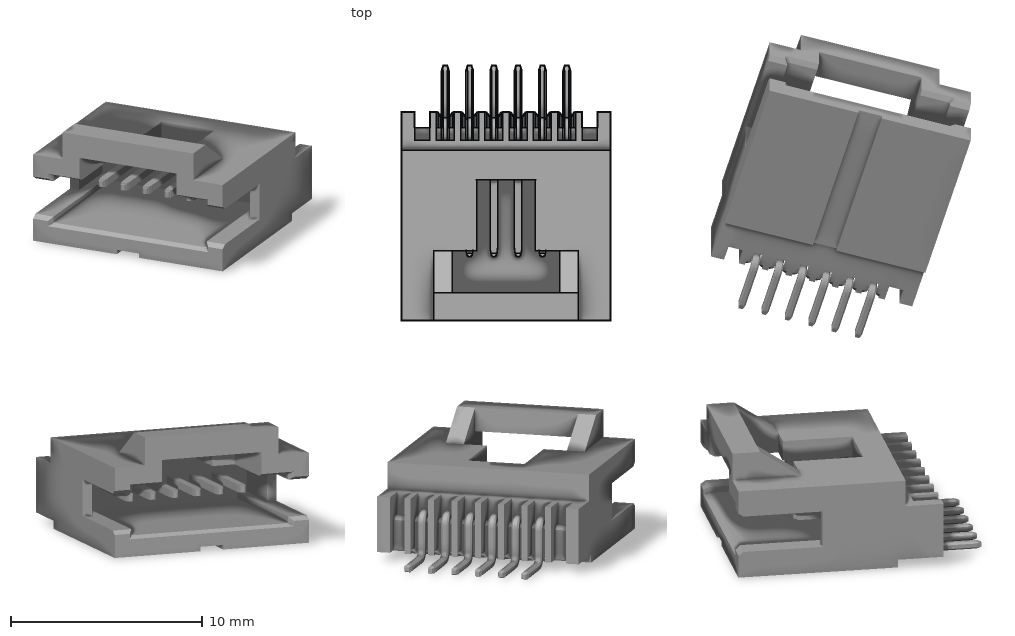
import cadquery as cq
import math


body_width = 10.95
body_height = 4.8
body_depth = 10.91
rear_top_step_y = 8.9
rear_top_step_z = 3.39
rear_foot_y = 8.48
rear_foot_z = 0.43

cavity_depth = 7.35
cavity_width = 8.86
cavity_floor = 1.08
cavity_ceiling = 3.71
groove_width = 9.9
groove_bottom = 1.41
groove_top = 3.39
side_slot_depth = 4.48
lead_in_depth = 0.28
groove_lead_in = 0.19
cavity_lead_in_side = 0.2
cavity_lead_in_height = 0.15

bridge_width = 7.55
bridge_top = 6.3
bridge_depth = 1.47
bridge_ramp_end = 3.65
bridge_gap_width = 5.6
bridge_underside = 5.03
window_width = 3.07

key_width = 1.3
key_height = 0.24

pin_count = 6
pin_row_length = 6.35
pin_pitch = pin_row_length / (pin_count - 1)
pin_size = 0.4
pin_edge_chamfer = 0.1
pin_axis_z = 2.4
pin_nose_y = 3.34
pin_shoulder_y = 3.52
pin_taper_y = 3.83
pin_shoulder_half = 0.16
pin_nose_half_width = 0.13
pin_nose_height = 0.3
pin_leg_y = 10.39
tail_axis_z = 0.15
tail_tip_y = 13.34
tail_tip_length = 0.3
tail_tip_size = 0.21
upper_bend_radius = 0.4
lower_bend_radius = 0.48

opening_front_y = 9.43
ledge_y = 10.09
ledge_z = pin_axis_z - pin_size / 2
ledge_run = 0.33
ledge_radius = 0.39
ledge_drop = ledge_radius - math.sqrt(ledge_radius**2 - ledge_run**2)
pin_opening_width = 0.95
end_opening_width = 0.8
end_opening_x = 4.38

lip_gap = 0.43
lip_shoulder_width = 0.76
lip_shoulder_drop = 0.03
lip_height = lip_shoulder_drop + (lip_shoulder_width - lip_gap) / 2
lip_undercut = 0.24

pin_positions = [i * pin_pitch - pin_row_length / 2 for i in range(pin_count)]


def block(width, y0, y1, z0, z1):
    """Box centred on X = 0, spanning y0..y1 and z0..z1."""
    box = cq.Workplane("XY").box(width, y1 - y0, z1 - z0, centered=(True, False, False))
    return box.translate((0, y0, z0))


def side_prism(points, width):
    """Prism of a closed (y, z) outline, centred on X = 0."""
    return cq.Workplane("YZ").polyline(points).close().extrude(width / 2, both=True)


def housing_blank():
    """Solid housing with a stepped rear end."""
    outline = [
        (0, 0),
        (rear_foot_y, 0),
        (rear_foot_y, rear_foot_z),
        (body_depth, rear_foot_z),
        (body_depth, rear_top_step_z),
        (rear_top_step_y, rear_top_step_z),
        (rear_top_step_y, body_height),
        (0, body_height),
    ]
    return side_prism(outline, body_width)


def latch_bridge():
    """Raised bar across the front with ramped arms running back from it."""
    outline = [
        (0, body_height),
        (bridge_ramp_end, body_height),
        (bridge_depth, bridge_top),
        (0, bridge_top),
    ]
    return side_prism(outline, bridge_width)


def bridge_opening():
    """Gap under and behind the bridge, with a narrower window running to the cavity end wall."""
    under = block(bridge_gap_width, 0, bridge_ramp_end, pin_axis_z, bridge_underside)
    behind = block(bridge_gap_width, bridge_depth, bridge_ramp_end, body_height, bridge_top)
    window = block(window_width, 0, cavity_depth, pin_axis_z, body_height)
    return under.union(behind).union(window)


def cavity():
    """Mating cavity with side grooves, open side slots and a flared mouth."""
    main = block(cavity_width, 0, cavity_depth, cavity_floor, cavity_ceiling)
    grooves = block(groove_width, 0, cavity_depth, groove_bottom, groove_top)
    side_slots = side_prism(
        [
            (0, groove_bottom - groove_lead_in),
            (lead_in_depth, groove_bottom),
            (side_slot_depth, groove_bottom),
            (side_slot_depth, groove_top),
            (lead_in_depth, groove_top),
            (0, groove_top + groove_lead_in),
        ],
        body_width,
    )
    cavity_height = cavity_ceiling - cavity_floor
    mouth = (
        cq.Workplane("XZ", origin=(0, 0, (cavity_floor + cavity_ceiling) / 2))
        .rect(cavity_width + 2 * cavity_lead_in_side, cavity_height + 2 * cavity_lead_in_height)
        .workplane(offset=-lead_in_depth)
        .rect(cavity_width, cavity_height)
        .loft()
    )
    return main.union(grooves).union(side_slots).union(mouth)


def rear_opening(x, width):
    """Slot open to the rear and top, through to the bottom behind a rounded ledge."""
    outline = (
        cq.Workplane("YZ")
        .moveTo(opening_front_y, ledge_z)
        .lineTo(ledge_y - ledge_run, ledge_z)
        .radiusArc((ledge_y, ledge_z - ledge_drop), ledge_radius)
        .lineTo(ledge_y, 0)
        .lineTo(body_depth, 0)
        .lineTo(body_depth, body_height)
        .lineTo(opening_front_y, body_height)
        .close()
    )
    return outline.extrude(width / 2, both=True).translate((x, 0, 0))


def guide_lips(x):
    """Pair of lips at the foot of an opening: two bevels toward the pin, rear face undercut."""
    top = rear_foot_z + lip_height
    side_outline = [
        (ledge_y, rear_foot_z),
        (body_depth - lip_undercut, rear_foot_z),
        (body_depth, top),
        (ledge_y, top),
    ]
    gap_outline = [
        (-lip_gap / 2, rear_foot_z),
        (lip_gap / 2, rear_foot_z),
        (lip_shoulder_width / 2, top - lip_shoulder_drop),
        (pin_opening_width / 2, top),
        (-pin_opening_width / 2, top),
        (-lip_shoulder_width / 2, top - lip_shoulder_drop),
    ]
    gap = cq.Workplane("XZ").polyline(gap_outline).close().extrude(-body_depth)
    return side_prism(side_outline, pin_opening_width).cut(gap).translate((x, 0, 0))


def pin_nose():
    """Square contact inside the cavity with tapered flanks and a rounded nose."""
    half = pin_size / 2
    shank = (
        cq.Workplane("XY", origin=(0, 0, pin_axis_z))
        .moveTo(-half, cavity_depth)
        .lineTo(-half, pin_taper_y)
        .lineTo(-pin_shoulder_half, pin_shoulder_y)
        .lineTo(pin_shoulder_half, pin_shoulder_y)
        .lineTo(half, pin_taper_y)
        .lineTo(half, cavity_depth)
        .close()
        .extrude(half, both=True)
    )
    nose = (
        cq.Workplane("XY", origin=(0, 0, pin_axis_z))
        .moveTo(-pin_nose_half_width, pin_shoulder_y)
        .threePointArc((0, pin_nose_y), (pin_nose_half_width, pin_shoulder_y))
        .close()
        .extrude(pin_nose_height / 2, both=True)
    )
    return shank.union(nose)


def chamfered_square(workplane):
    """Pin cross-section: a square with its four corners bevelled."""
    half = pin_size / 2
    flat = half - pin_edge_chamfer
    corners = [
        (-flat, -half), (flat, -half), (half, -flat), (half, flat),
        (flat, half), (-flat, half), (-half, flat), (-half, -flat),
    ]
    return workplane.polyline(corners).close()


def pin_tail():
    """Eight-sided wire: out of the wall, down the leg and back along the board."""
    start_y = cavity_depth
    tip_start_y = tail_tip_y - tail_tip_length
    diagonal = math.sqrt(0.5)
    upper_y = pin_leg_y - upper_bend_radius
    upper_z = pin_axis_z - upper_bend_radius
    lower_y = pin_leg_y + lower_bend_radius
    lower_z = tail_axis_z + lower_bend_radius
    path = (
        cq.Workplane("YZ")
        .moveTo(start_y, pin_axis_z)
        .lineTo(upper_y, pin_axis_z)
        .threePointArc(
            (upper_y + upper_bend_radius * diagonal, upper_z + upper_bend_radius * diagonal),
            (pin_leg_y, upper_z),
        )
        .lineTo(pin_leg_y, lower_z)
        .threePointArc(
            (lower_y - lower_bend_radius * diagonal, lower_z - lower_bend_radius * diagonal),
            (lower_y, tail_axis_z),
        )
        .lineTo(tip_start_y, tail_axis_z)
    )
    wire = chamfered_square(cq.Workplane("XZ", origin=(0, start_y, pin_axis_z))).sweep(path)
    taper = (
        cq.Workplane("XZ", origin=(0, tip_start_y, tail_axis_z))
        .rect(pin_size, pin_size)
        .workplane(offset=-tail_tip_length)
        .rect(tail_tip_size, tail_tip_size)
        .loft()
    )
    tip_base = cq.Workplane("XZ", origin=(0, tip_start_y, tail_axis_z))
    tip = chamfered_square(tip_base).extrude(-tail_tip_length).intersect(taper)
    return wire.union(tip)


def pin():
    """Complete contact: straight front end and bent tail."""
    return pin_nose().union(pin_tail())


key_groove = block(key_width, 0, rear_foot_y, 0, key_height)

result = housing_blank().union(latch_bridge())
result = result.cut(bridge_opening()).cut(cavity()).cut(key_groove)

for side in (-1, 1):
    result = result.cut(rear_opening(side * end_opening_x, end_opening_width))

contact = pin()
for x in pin_positions:
    result = result.cut(rear_opening(x, pin_opening_width))
    result = result.union(guide_lips(x))
    result = result.union(contact.translate((x, 0, 0)))